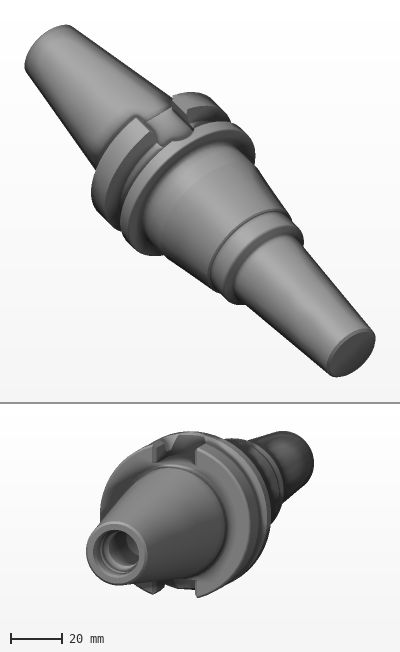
import cadquery as cq
import math

total_length = 195.4

shank_end_radius = 12.7
shank_edge_chamfer = 0.8
shank_slope = 7 / 48
taper_end_x = 63.9
relief_start_x = 65.0
relief_radius = 21.9
relief_root_round = 1.2

flange_radius = 31.5
flange_start_x = 67.5
flange_end_x = 92.2
flange_back_round = 1.0
flange_front_round = 0.8
groove_radius = 26.2
groove_centre_x = 81.9
groove_floor_width = 4.0
groove_half_angle = math.radians(30)
groove_round = 0.4

body_radius = 25.0
body_root_round = 2.0
body_taper_x = 104.3
body_end_x = 130.0
body_end_radius = 21.1
body_end_chamfer = 0.5
body_foot_round = 0.4

ring_radius = 20.0
ring_end_x = 138.3
ring_round = 1.4
nose_start_x = 140.5
nose_start_radius = 16.5
nose_root_round = 1.2

nose_tip_radius = 12.1
nose_tip_chamfer = 1.0

slot_width = 16.0
slot_floor = 22.7
slot_end_x = 88.7
slot_chamfer = 1.4
slot_end_chamfer = 1.0

bore_mouth_radius = 9.5
lead_radius = 9.0
lead_start_x = 2.0
lead_end_x = 6.5
pilot_radius = 8.5
pilot_start_x = 6.8
pilot_end_x = 9.4
thread_mouth_radius = 8.0
thread_mouth_x = 10.0
thread_radius = 7.0
thread_start_x = 11.1
thread_end_x = 31.3
drill_point_half_angle = math.radians(59)


def rounded_profile(corners):
    """Closed XY outline through (x, radius, corner round) triples."""
    outline = cq.Workplane("XY").moveTo(*corners[0][:2])
    for before, corner, after in zip(corners, corners[1:], corners[2:] + corners[:1]):
        point = cq.Vector(*corner[:2])
        corner_round = corner[2]
        if corner_round == 0:
            outline = outline.lineTo(point.x, point.y)
            continue
        toward_before = (cq.Vector(*before[:2]) - point).normalized()
        toward_after = (cq.Vector(*after[:2]) - point).normalized()
        half_angle = toward_before.getAngle(toward_after) / 2
        tangent_length = corner_round / math.tan(half_angle)
        middle_distance = corner_round / math.sin(half_angle) - corner_round
        start = point + toward_before * tangent_length
        middle = point + (toward_before + toward_after).normalized() * middle_distance
        end = point + toward_after * tangent_length
        outline = outline.lineTo(start.x, start.y)
        outline = outline.threePointArc((middle.x, middle.y), (end.x, end.y))
    return outline.close()


def turned(corners):
    """Solid of revolution about the X axis."""
    return rounded_profile(corners).revolve(360, (0, 0, 0), (1, 0, 0))


def holder_body():
    half_floor = groove_floor_width / 2
    half_mouth = half_floor + (flange_radius - groove_radius) * math.tan(groove_half_angle)
    return turned([
        (0, 0, 0),
        (0, shank_end_radius - shank_edge_chamfer, 0),
        (shank_edge_chamfer, shank_end_radius + shank_slope * shank_edge_chamfer, 0),
        (taper_end_x, shank_end_radius + shank_slope * taper_end_x, 0),
        (relief_start_x, relief_radius, 0),
        (flange_start_x, relief_radius, relief_root_round),
        (flange_start_x, flange_radius, flange_back_round),
        (groove_centre_x - half_mouth, flange_radius, 0),
        (groove_centre_x - half_floor, groove_radius, groove_round),
        (groove_centre_x + half_floor, groove_radius, groove_round),
        (groove_centre_x + half_mouth, flange_radius, 0),
        (flange_end_x, flange_radius, flange_front_round),
        (flange_end_x, body_radius, body_root_round),
        (body_taper_x, body_radius, 0),
        (body_end_x - body_end_chamfer, body_end_radius, 0),
        (body_end_x, body_end_radius - body_end_chamfer, 0),
        (body_end_x, ring_radius, body_foot_round),
        (ring_end_x, ring_radius, ring_round),
        (nose_start_x, nose_start_radius, nose_root_round),
        (total_length - nose_tip_chamfer, nose_tip_radius, 0),
        (total_length, nose_tip_radius - nose_tip_chamfer, 0),
        (total_length, 0, 0),
    ])


def pull_stud_bore():
    point_length = thread_radius / math.tan(drill_point_half_angle)
    return turned([
        (0, 0, 0),
        (0, bore_mouth_radius, 0),
        (lead_start_x, lead_radius, 0),
        (lead_end_x, lead_radius, 0),
        (pilot_start_x, pilot_radius, 0),
        (pilot_end_x, pilot_radius, 0),
        (thread_mouth_x, thread_mouth_radius, 0),
        (thread_start_x, thread_radius, 0),
        (thread_end_x, thread_radius, 0),
        (thread_end_x + point_length, 0, 0),
    ])


def drive_slot():
    """Upper drive slot: straight walls, round inner end and chamfered edges."""
    half_width = slot_width / 2
    end_centre_x = slot_end_x - half_width
    height = flange_radius - slot_floor
    floor = cq.Workplane("XY", origin=(0, 0, slot_floor))

    channel = floor.moveTo(flange_start_x, -half_width).lineTo(end_centre_x, -half_width)
    channel = channel.threePointArc((slot_end_x, 0), (end_centre_x, half_width))
    channel = channel.lineTo(flange_start_x, half_width).close().extrude(height)

    face_flare = floor.polyline([
        (flange_start_x, -half_width - slot_chamfer),
        (flange_start_x + slot_chamfer, -half_width),
        (flange_start_x + slot_chamfer, half_width),
        (flange_start_x, half_width + slot_chamfer),
    ]).close().extrude(height)

    outer_half_width = half_width + slot_chamfer
    outer_z = math.sqrt(flange_radius ** 2 - outer_half_width ** 2)
    edge_flare = cq.Workplane("YZ", origin=(flange_start_x, 0, 0)).polyline([
        (-half_width, outer_z - slot_chamfer),
        (-outer_half_width, outer_z),
        (-outer_half_width, flange_radius),
        (outer_half_width, flange_radius),
        (outer_half_width, outer_z),
        (half_width, outer_z - slot_chamfer),
    ]).close().extrude(groove_centre_x - flange_start_x)

    cone = cq.Solid.makeCone(
        half_width, half_width + slot_end_chamfer, slot_end_chamfer,
        cq.Vector(end_centre_x, 0, flange_radius - slot_end_chamfer), cq.Vector(0, 0, 1),
    )
    return channel.union(face_flare).union(edge_flare).union(cq.Workplane(cone))


upper_slot = drive_slot()
lower_slot = upper_slot.rotate((0, 0, 0), (1, 0, 0), 180)
result = holder_body().cut(pull_stud_bore()).cut(upper_slot).cut(lower_slot)